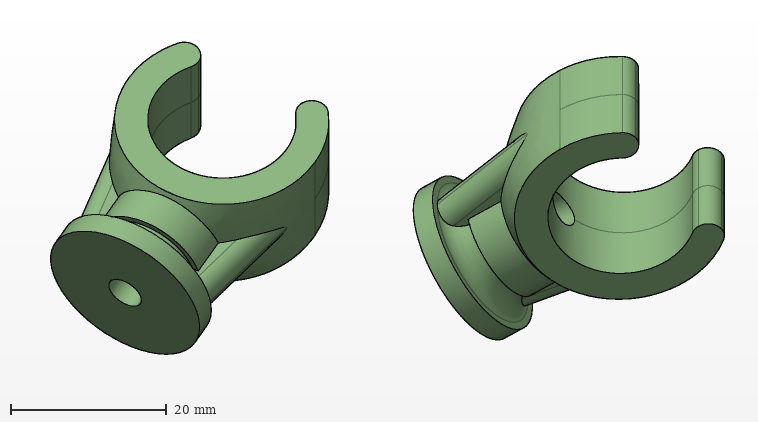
import cadquery as cq
import math

bore_radius = 9.5
ring_radius = 13.707
wall = ring_radius - bore_radius
middle_radius = bore_radius + wall / 2
tip_y = 6.8
tip_x = math.sqrt(middle_radius**2 - tip_y**2)
clip_end_y = tip_y + wall / 2

tip_half_height = 7.55
root_half_height = 8.35
bulge_depth = 3.0
bulge_half_height = 8.5
bulge_section_count = 7

length = 33.97
flange_radius = 11.0
flange_thickness = 3.05
collar_radius = 7.78
neck_radius = 7.0
neck_length = 3.0
flare_radius = neck_length
hole_diameter = 4.8
flange_back_y = clip_end_y - length
flange_front_y = flange_back_y + flange_thickness
collar_start_y = flange_front_y + neck_length

web_thickness = 5.03
web_half_width_at_flange = 9.95
web_half_width_at_ring = 13.05
web_end_y = -4.75


def cylinder_along_y(radius, start_y, end_y):
    return cq.Workplane("XZ", origin=(0, start_y, 0)).circle(radius).extrude(start_y - end_y)


def make_bulge():
    """Ring-side swelling: elliptical sections, deepest at mid-height."""
    sections = cq.Workplane("XY", origin=(0, 0, -root_half_height))
    step = 2 * root_half_height / (bulge_section_count - 1)
    for index in range(bulge_section_count):
        z = -root_half_height + index * step
        depth = ring_radius + bulge_depth * (1 - (z / bulge_half_height) ** 2)
        if index > 0:
            sections = sections.workplane(offset=step)
        sections = sections.ellipse(ring_radius, depth)
    swelling = sections.loft()
    flange_side = cq.Workplane("XY").box(length, length, length).translate((0, -length / 2, 0))
    return swelling.intersect(flange_side)


def make_mouth():
    """Wedge from the ring axis through the tip centres."""
    reach = 2
    return (
        cq.Workplane("XY")
        .polyline([(0, 0), (reach * tip_x, reach * tip_y), (0, length), (-reach * tip_x, reach * tip_y)])
        .close()
        .extrude(root_half_height, both=True)
    )


def make_draft_envelope():
    """Side profile bounding the sloping ends of the ring."""
    return (
        cq.Workplane("YZ")
        .moveTo(clip_end_y, -tip_half_height)
        .lineTo(clip_end_y, tip_half_height)
        .lineTo(-ring_radius, root_half_height)
        .lineTo(-length, root_half_height)
        .lineTo(-length, -root_half_height)
        .lineTo(-ring_radius, -root_half_height)
        .close()
        .extrude(length, both=True)
    )


def make_clip():
    ring = cq.Workplane("XY").circle(ring_radius).extrude(root_half_height, both=True)
    tips = (
        cq.Workplane("XY")
        .pushPoints([(-tip_x, tip_y), (tip_x, tip_y)])
        .circle(wall / 2)
        .extrude(root_half_height, both=True)
    )
    open_ring = ring.union(make_bulge()).cut(make_mouth())
    return open_ring.union(tips).intersect(make_draft_envelope()).clean()


def make_mount():
    """Flange and collar joined by a neck that flares into the flange."""
    flange = cylinder_along_y(flange_radius, flange_back_y, flange_front_y)
    collar = cylinder_along_y(collar_radius, collar_start_y, -middle_radius)
    corner_offset = flare_radius * (1 - math.sqrt(0.5))
    neck = (
        cq.Workplane("XY")
        .moveTo(0, flange_front_y)
        .lineTo(neck_radius + flare_radius, flange_front_y)
        .threePointArc(
            (neck_radius + corner_offset, flange_front_y + corner_offset),
            (neck_radius, collar_start_y),
        )
        .lineTo(0, collar_start_y)
        .close()
        .revolve(360, (0, 0, 0), (0, 1, 0))
    )
    return flange.union(neck).union(collar)


def make_web():
    """Tapered plate bounded on each side by a rod as thick as the plate."""
    edge_radius = web_thickness / 2
    run = web_end_y - flange_front_y
    spread = web_half_width_at_ring - web_half_width_at_flange
    rod_length = math.hypot(run, spread)
    inset = edge_radius * rod_length / run
    rod_start_x = web_half_width_at_flange - inset
    rod_end_x = web_half_width_at_ring - inset
    web = (
        cq.Workplane("XY")
        .polyline([
            (-rod_start_x, flange_front_y),
            (rod_start_x, flange_front_y),
            (rod_end_x, web_end_y),
            (-rod_end_x, web_end_y),
        ])
        .close()
        .extrude(edge_radius, both=True)
    )
    bury = flange_thickness / 2 / run
    for side in (-1, 1):
        start = cq.Vector(side * (rod_start_x - bury * spread), flange_front_y - bury * run, 0)
        direction = cq.Vector(side * spread, run, 0)
        rod = cq.Solid.makeCylinder(edge_radius, rod_length * (1 + bury), start, direction)
        web = web.union(cq.Workplane(rod))
    return web


bore = cq.Workplane("XY").circle(bore_radius).extrude(length, both=True)
hole = cylinder_along_y(hole_diameter / 2, flange_back_y, 0)

result = make_clip().union(make_mount()).union(make_web()).cut(bore).cut(hole)